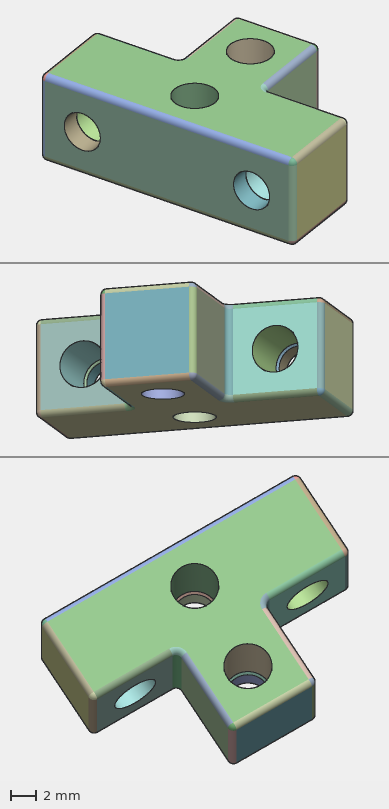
import cadquery as cq

LENGTH = 24.0
CUBE = LENGTH / 3
HALF_CUBE = CUBE / 2
EDGE_RADIUS = 0.5

NARROW_DIAMETER = 3.4
MOUTH_DIAMETER = 3.8
NARROW_DEPTH = 1.8
CONE_HEIGHT = (MOUTH_DIAMETER - NARROW_DIAMETER) / 2


def t_body():
    """Rounded T with its bar along X and its stem toward +Y."""
    bar = cq.Workplane("XY").box(LENGTH, CUBE, CUBE, centered=(True, False, False))
    stem = cq.Workplane("XY").box(CUBE, 2 * CUBE, CUBE, centered=(True, False, False))
    return bar.union(stem).edges().fillet(EDGE_RADIUS)


def hole_cutter(start, direction):
    """Cutter one cube long from its narrow end at start to its wide mouth."""
    profile = (
        cq.Workplane("XZ")
        .lineTo(NARROW_DIAMETER / 2, 0)
        .lineTo(NARROW_DIAMETER / 2, NARROW_DEPTH)
        .lineTo(MOUTH_DIAMETER / 2, NARROW_DEPTH + CONE_HEIGHT)
        .lineTo(MOUTH_DIAMETER / 2, CUBE)
        .lineTo(0, CUBE)
        .close()
    )
    cutter = profile.revolve(360, (0, 0, 0), (0, 1, 0)).val()
    plane = cq.Plane(origin=start, xDir=(1, 0, 0), normal=direction)
    return cutter.moved(cq.Location(plane))


result = t_body()

for y in (HALF_CUBE, CUBE + HALF_CUBE):
    result = result.cut(hole_cutter((0, y, 0), (0, 0, 1)))

for x in (-CUBE, CUBE):
    result = result.cut(hole_cutter((x, 0, HALF_CUBE), (0, 1, 0)))